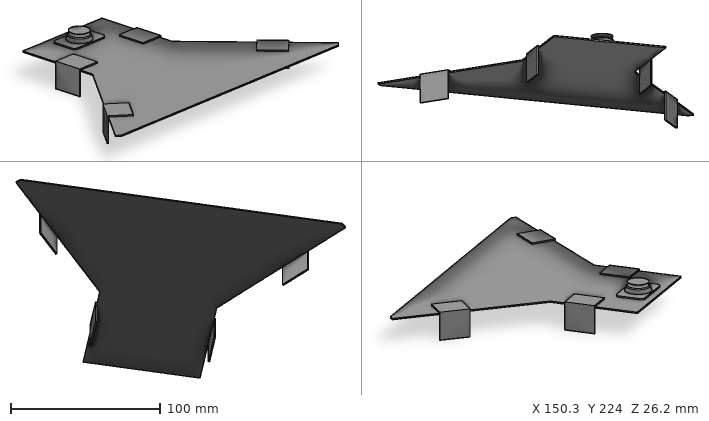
import cadquery as cq
import math

sheet_length = 150.3
sheet_span = 224.0
neck_width = 79.5
neck_length = 62.7
tip_x = 147.6
tip_drop = 2.7
sheet_thickness = 1.0

clip_length = 21.5
clip_depth = 20.0
clip_thickness = sheet_thickness
clip_reach = 17.7
neck_clip_x = 41.2
flare_clip_along = 67.6

sheet_top = clip_depth - clip_thickness
sheet_bottom = sheet_top - sheet_thickness

button_x = 15.2
pad_length = 20.4
pad_width = 31.8
pad_thickness = sheet_thickness
pad_corner_radius = 3.0
total_height = 26.2
boss_base_radius = 9.2
boss_shoulder_radius = 8.0
boss_top_radius = 7.2
boss_shoulder_z = 22.8
boss_top_z = 23.5
disc_radius = 7.5
disc_thickness = 0.2

pad_top = sheet_top + pad_thickness
flare_angle = math.degrees(math.atan2((sheet_span - neck_width) / 2, tip_x - neck_length))


def make_sheet():
    """Flat neck that flares out to two clipped tips."""
    half_neck = neck_width / 2
    half_span = sheet_span / 2
    upper = [
        (0, half_neck),
        (neck_length, half_neck),
        (tip_x, half_span),
        (sheet_length, half_span - tip_drop),
    ]
    lower = [(x, -y) for x, y in reversed(upper)]
    return (
        cq.Workplane("XY", origin=(0, 0, sheet_bottom))
        .polyline(upper + lower)
        .close()
        .extrude(sheet_thickness)
    )


def make_clip():
    """Angle clip at X = 0 for a sheet edge along the X axis, with the sheet on the -Y side."""
    section = [
        (clip_thickness, 0),
        (clip_thickness, clip_depth),
        (clip_thickness - clip_reach, clip_depth),
        (clip_thickness - clip_reach, sheet_top),
        (0, sheet_top),
        (0, 0),
    ]
    return cq.Workplane("YZ").polyline(section).close().extrude(clip_length / 2, both=True)


def make_clips():
    """One clip on each neck edge and one on each flared edge."""
    run = math.radians(flare_angle)
    flare_clip_x = neck_length + flare_clip_along * math.cos(run)
    flare_clip_y = neck_width / 2 + flare_clip_along * math.sin(run)
    placements = [(neck_clip_x, neck_width / 2, 0), (flare_clip_x, flare_clip_y, flare_angle)]
    clips = []
    for x, y, angle in placements:
        clip = make_clip().rotate((0, 0, 0), (0, 0, 1), angle).translate((x, y, 0))
        clips.append(clip.val())
        clips.append(clip.mirror("XZ").val())
    return clips


def make_housing():
    """Rounded pad lying on the sheet, with a turned boss whose top edge is bevelled."""
    pad = (
        cq.Workplane("XY", origin=(button_x, 0, sheet_top))
        .rect(pad_length, pad_width)
        .extrude(pad_thickness)
        .edges("|Z")
        .fillet(pad_corner_radius)
    )
    boss_profile = [
        (0, pad_top),
        (boss_base_radius, pad_top),
        (boss_shoulder_radius, boss_shoulder_z),
        (boss_top_radius, boss_top_z),
        (0, boss_top_z),
    ]
    boss = (
        cq.Workplane("XZ", origin=(button_x, 0, 0))
        .polyline(boss_profile)
        .close()
        .revolve(360, (0, 0), (0, 1))
    )
    return pad.union(boss)


def make_disc():
    """Thin round disc above the boss, its upper face at the full height."""
    return (
        cq.Workplane("XY", origin=(button_x, 0, total_height - disc_thickness))
        .circle(disc_radius)
        .extrude(disc_thickness)
    )


sheet = make_sheet()
clips = make_clips()
housing = make_housing()
disc = make_disc()

result = cq.Compound.makeCompound([sheet.val(), *clips, housing.val(), disc.val()])